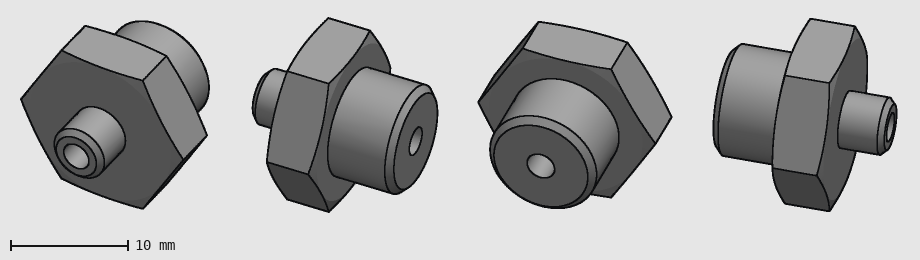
import cadquery as cq
import math

corner_width = 16.17
hex_thickness = 4.51
hex_chamfer_angle = 15.0
body_diameter = 9.73
body_length = 6.0
body_chamfer = 0.58
spigot_diameter = 5.0
spigot_length = 4.0
spigot_chamfer = 0.5
bore_diameter = 2.5

flat_width = corner_width * math.cos(math.radians(30))
body_end = hex_thickness + body_length


def cylinder(diameter, start, end):
    """Solid cylinder along Y from start to end."""
    plane = cq.Workplane("XZ", origin=(0, start, 0))
    return plane.circle(diameter / 2).extrude(start - end)


def chamfered_hexagon():
    """Hexagon with corners on X, its corners turned down by a cone at both faces."""
    hexagon = cq.Workplane("XZ").polygon(6, corner_width).extrude(-hex_thickness)
    face_radius = flat_width / 2
    corner_radius = corner_width / 2
    drop = (corner_radius - face_radius) * math.tan(math.radians(hex_chamfer_angle))
    envelope = (
        cq.Workplane("XY")
        .moveTo(0, 0)
        .lineTo(face_radius, 0)
        .lineTo(corner_radius, drop)
        .lineTo(corner_radius, hex_thickness - drop)
        .lineTo(face_radius, hex_thickness)
        .lineTo(0, hex_thickness)
        .close()
        .revolve(360, (0, 0, 0), (0, 1, 0))
    )
    return hexagon.intersect(envelope)


body = cylinder(body_diameter, hex_thickness, body_end).faces(">Y").chamfer(body_chamfer)
spigot = cylinder(spigot_diameter, -spigot_length, 0).faces("<Y").chamfer(spigot_chamfer)
bore = cylinder(bore_diameter, -spigot_length, body_end)

result = chamfered_hexagon().union(body).union(spigot).cut(bore)